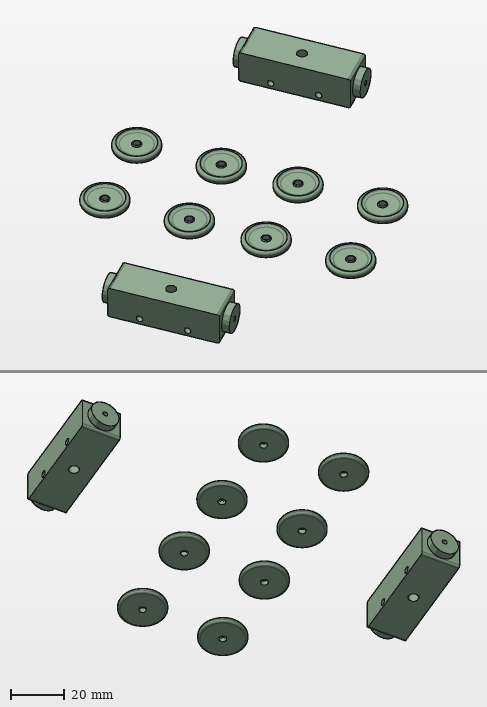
import cadquery as cq
import math

HOUSING_LENGTH = 45.0
HOUSING_WIDTH = 16.0
HOUSING_HEIGHT = 14.0
END_ROUND = 1.0
BOSS_DIAMETER = 11.6
BOSS_LENGTH = 3.0
BOSS_HEIGHT = HOUSING_HEIGHT / 2
AXLE_HOLE_DIAMETER = 2.0
AXLE_HOLE_DEPTH = 9.7
MOUNT_HOLE_DIAMETER = 4.0
SIDE_HOLE_DIAMETER = 2.5
SIDE_HOLE_SPACING = 19.3
SIDE_HOLE_HEIGHT = 2.5

WHEEL_RADIUS = 19.0 / 2
WHEEL_THICKNESS = 2.7
RIM_TOP_ROUND = 1.3
RIM_BOTTOM_ROUND = 1.0
RIM_CREST_WIDTH = 0.3
DISH_COVE_WIDTH = 1.3
DISH_DEPTH = 0.8
BORE_RADIUS = 2.9 / 2
HUB_ROUND = 0.5
HUB_RADIUS = BORE_RADIUS + HUB_ROUND

OVERALL_LENGTH = 161.0
HOUSING_DROP = 0.8
HOUSING_Y = (OVERALL_LENGTH - HOUSING_WIDTH) / 2
HOUSING_CENTRES = [(-2.4, -HOUSING_Y), (-4.5, HOUSING_Y)]
WHEEL_X = [-49.5, -15.5, 15.5, 49.5]
WHEEL_Y = [-18.5, 15.5]


def make_housing():
    body = (
        cq.Workplane("XY")
        .box(HOUSING_LENGTH, HOUSING_WIDTH, HOUSING_HEIGHT, centered=(True, True, False))
        .faces("<X or >X")
        .edges("|Y")
        .fillet(END_ROUND)
    )
    end_x = HOUSING_LENGTH / 2 + BOSS_LENGTH
    bosses = (
        cq.Workplane("YZ", origin=(-end_x, 0, BOSS_HEIGHT))
        .circle(BOSS_DIAMETER / 2)
        .extrude(2 * end_x)
    )
    body = body.union(bosses)
    for side in (-1, 1):
        axle_hole = (
            cq.Workplane("YZ", origin=(side * end_x, 0, BOSS_HEIGHT))
            .circle(AXLE_HOLE_DIAMETER / 2)
            .extrude(-side * AXLE_HOLE_DEPTH)
        )
        body = body.cut(axle_hole)
    mount_hole = cq.Workplane("XY").circle(MOUNT_HOLE_DIAMETER / 2).extrude(HOUSING_HEIGHT)
    side_holes = (
        cq.Workplane("XZ", origin=(0, -HOUSING_WIDTH / 2, SIDE_HOLE_HEIGHT))
        .rarray(SIDE_HOLE_SPACING, 1.6, 2, 1)
        .circle(SIDE_HOLE_DIAMETER / 2)
        .extrude(-HOUSING_WIDTH)
    )
    return body.cut(mount_hole).cut(side_holes)


def round_point(centre_r, centre_z, radius, angle):
    a = math.radians(angle)
    return (centre_r + radius * math.cos(a), centre_z + radius * math.sin(a))


def make_wheel():
    floor_z = WHEEL_THICKNESS - DISH_DEPTH
    crest_outer = WHEEL_RADIUS - RIM_TOP_ROUND
    crest_inner = crest_outer - RIM_CREST_WIDTH
    cove_r = crest_inner - DISH_COVE_WIDTH
    cove_radius = (DISH_COVE_WIDTH**2 + DISH_DEPTH**2) / (2 * DISH_DEPTH)
    cove_sweep = math.degrees(math.asin(DISH_COVE_WIDTH / cove_radius))
    profile = (
        cq.Workplane("XZ")
        .moveTo(BORE_RADIUS, 0)
        .lineTo(WHEEL_RADIUS - RIM_BOTTOM_ROUND, 0)
        .threePointArc(
            round_point(WHEEL_RADIUS - RIM_BOTTOM_ROUND, RIM_BOTTOM_ROUND, RIM_BOTTOM_ROUND, -45),
            (WHEEL_RADIUS, RIM_BOTTOM_ROUND),
        )
        .lineTo(WHEEL_RADIUS, WHEEL_THICKNESS - RIM_TOP_ROUND)
        .threePointArc(
            round_point(crest_outer, WHEEL_THICKNESS - RIM_TOP_ROUND, RIM_TOP_ROUND, 45),
            (crest_outer, WHEEL_THICKNESS),
        )
        .lineTo(crest_inner, WHEEL_THICKNESS)
        .threePointArc(
            round_point(cove_r, floor_z + cove_radius, cove_radius, cove_sweep / 2 - 90),
            (cove_r, floor_z),
        )
        .lineTo(HUB_RADIUS, floor_z)
        .threePointArc(
            round_point(BORE_RADIUS, floor_z, HUB_ROUND, 45),
            (BORE_RADIUS, floor_z + HUB_ROUND),
        )
        .close()
    )
    return profile.revolve(360, (0, 0, 0), (0, 1, 0))


housings = [make_housing().translate((x, y, HOUSING_DROP)).val() for x, y in HOUSING_CENTRES]
wheels = [make_wheel().translate((x, y, 0)).val() for x in WHEEL_X for y in WHEEL_Y]
result = cq.Compound.makeCompound([*housings, *wheels])